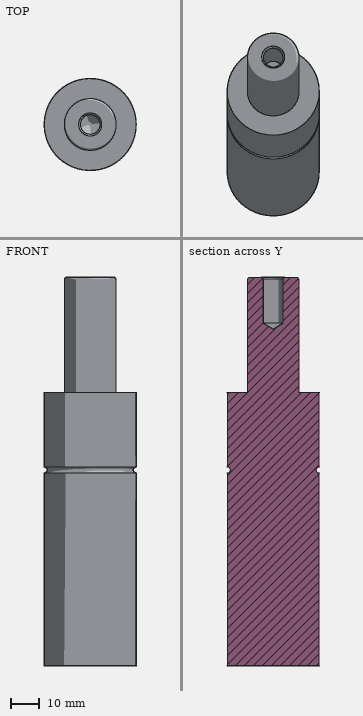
import cadquery as cq
import math

body_diameter = 32.0
body_length = 95.0

rod_diameter = 18.0
rod_length = 40.0
rod_tip_fillet = 1.0

groove_height = 68.0
groove_radius = 1.0

hole_diameter = 6.8
hole_depth = 16.0
mouth_diameter = 8.0
drill_point_angle = 118.0

body_radius = body_diameter / 2
rod_radius = rod_diameter / 2
hole_radius = hole_diameter / 2
mouth_radius = mouth_diameter / 2
total_length = body_length + rod_length


def make_body():
    body = cq.Workplane("XY").circle(body_radius).extrude(body_length)
    groove_ring = cq.Solid.makeTorus(body_radius, groove_radius, cq.Vector(0, 0, groove_height))
    return body.cut(cq.Workplane(groove_ring))


def make_rod():
    rod = cq.Workplane("XY").workplane(offset=body_length).circle(rod_radius).extrude(rod_length)
    return rod.faces(">Z").edges().fillet(rod_tip_fillet)


def make_rod_hole():
    countersink_depth = mouth_radius - hole_radius
    point_length = hole_radius / math.tan(math.radians(drill_point_angle / 2))
    hole_floor = total_length - hole_depth
    profile = [
        (0, hole_floor - point_length),
        (hole_radius, hole_floor),
        (hole_radius, total_length - countersink_depth),
        (mouth_radius, total_length),
        (0, total_length),
    ]
    outline = cq.Workplane("XZ").polyline(profile).close()
    return outline.revolve(360, (0, 0, 0), (0, 1, 0))


result = make_body().union(make_rod()).cut(make_rod_hole())